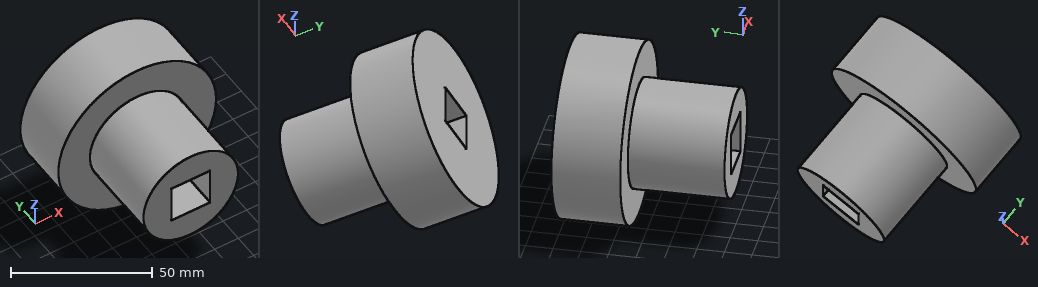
import cadquery as cq

flange_diameter = 66.6
flange_thickness = 25.0
hub_diameter = 40.0
total_length = 60.0
square_side = 16.25

back_y = total_length / 2
back_plane = cq.Workplane("XZ", origin=(0, back_y, 0))

flange = back_plane.circle(flange_diameter / 2).extrude(flange_thickness)
hub = back_plane.circle(hub_diameter / 2).extrude(total_length)

square_hole = back_plane.rect(square_side, square_side).extrude(total_length)

result = flange.union(hub).cut(square_hole)